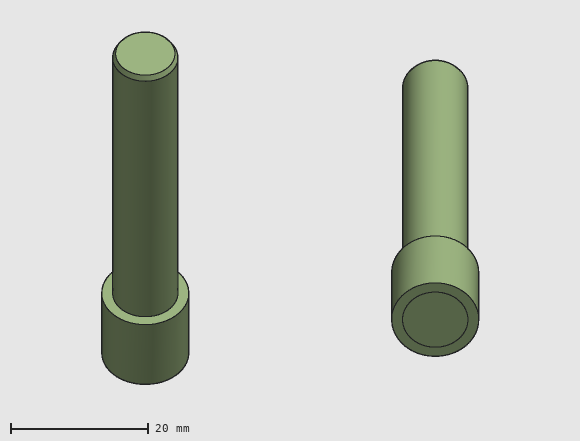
import cadquery as cq

total_length = 63.5
collar_diameter = 12.7
collar_length = 12.7
pin_diameter = 9.5
tip_chamfer_length = 0.8
tip_chamfer_depth = 0.45


def make_pin():
    """Round pin along Z, chamfered at its upper end."""
    radius = pin_diameter / 2
    half_profile = (
        cq.Workplane("XZ")
        .moveTo(0, 0)
        .lineTo(radius, 0)
        .lineTo(radius, total_length - tip_chamfer_length)
        .lineTo(radius - tip_chamfer_depth, total_length)
        .lineTo(0, total_length)
        .close()
    )
    return half_profile.revolve(360, (0, 0, 0), (0, 1, 0))


def make_collar():
    """Plain sleeve around the lower end of the pin, flush with it."""
    return (
        cq.Workplane("XY")
        .circle(collar_diameter / 2)
        .circle(pin_diameter / 2)
        .extrude(collar_length)
    )


pin = make_pin()
collar = make_collar()
result = cq.Compound.makeCompound([pin.val(), collar.val()])